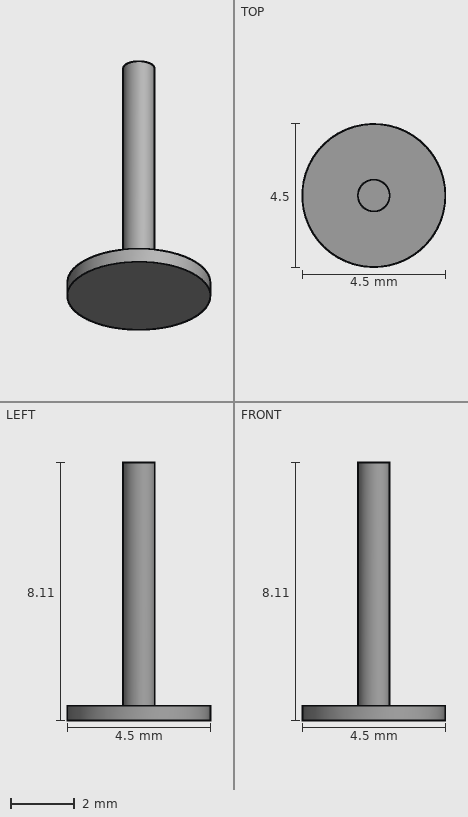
import cadquery as cq

total_height = 8.11
disc_diameter = 4.5
disc_thickness = 0.47
rod_diameter = 1.0

rod_length = total_height - disc_thickness


def make_disc():
    """Flat round base with its underside at Z = 0."""
    return cq.Workplane("XY").circle(disc_diameter / 2).extrude(disc_thickness)


def make_rod():
    """Plain round rod standing on the centre of the disc."""
    return (
        cq.Workplane("XY")
        .workplane(offset=disc_thickness)
        .circle(rod_diameter / 2)
        .extrude(rod_length)
    )


disc = make_disc()
rod = make_rod()

result = cq.Compound.makeCompound([disc.val(), rod.val()])